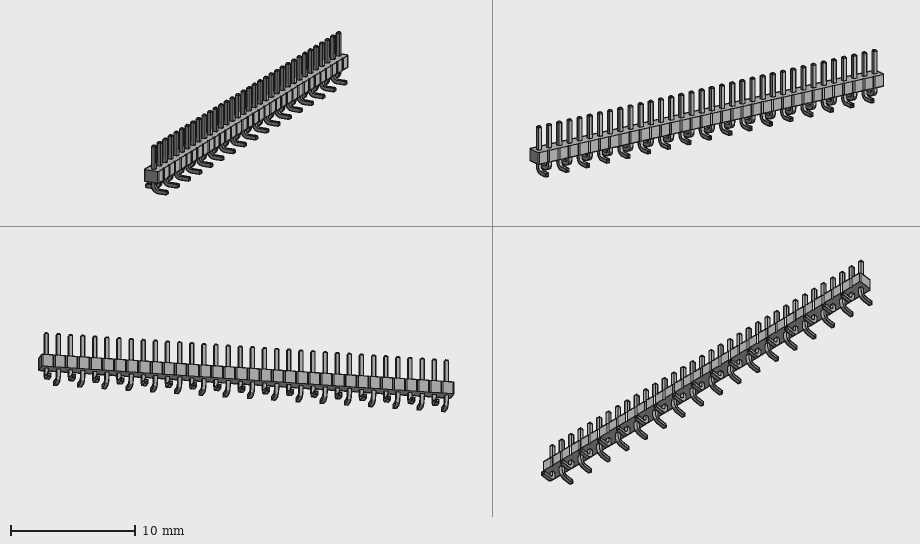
import cadquery as cq

pin_count = 34
pitch = 1.0
row_length = pin_count * pitch

body_width = 1.3
body_bottom = 1.0
body_top = 2.0
corner_chamfer = 0.1

pin_size = 0.3
pin_top = 4.0
foot_reach = 1.25
bend_inner_radius = 0.3
tip_taper_length = 0.1
tip_size = 0.15


def pin_position(index):
    """Y of a pin, counted from the -Y end of the row."""
    return (index + 0.5) * pitch - row_length / 2


def body_cell():
    """One pitch of the body, with its four upright corners bevelled."""
    return (
        cq.Workplane("XY")
        .workplane(offset=body_bottom)
        .rect(body_width, pitch)
        .extrude(body_top - body_bottom)
        .edges("|Z")
        .chamfer(corner_chamfer)
    )


def pin_tip(base_plane):
    """Four-sided taper that starts on the given plane and follows its normal."""
    return (
        cq.Workplane(base_plane)
        .rect(pin_size, pin_size)
        .workplane(offset=tip_taper_length)
        .rect(tip_size, tip_size)
        .loft(ruled=True)
    )


def bent_pin():
    """An upright pin bent at the bottom into a foot that points to +X."""
    half = pin_size / 2
    bend_radius = half + bend_inner_radius
    post_end = pin_top - tip_taper_length
    foot_end = foot_reach - tip_taper_length
    centreline = (
        cq.Workplane("XZ")
        .moveTo(0, post_end)
        .lineTo(0, half + bend_radius)
        .radiusArc((bend_radius, half), -bend_radius)
        .lineTo(foot_end, half)
    )
    stem = (
        cq.Workplane("XY", origin=(0, 0, post_end))
        .rect(pin_size, pin_size)
        .sweep(centreline)
    )
    post_tip = pin_tip(cq.Plane(origin=(0, 0, post_end), xDir=(1, 0, 0), normal=(0, 0, 1)))
    foot_tip = pin_tip(cq.Plane(origin=(foot_end, 0, half), xDir=(0, 1, 0), normal=(1, 0, 0)))
    return stem.union(post_tip).union(foot_tip)


cell = body_cell()
pin_right = bent_pin()
pin_left = pin_right.rotate((0, 0, 0), (0, 0, 1), 180)
cell_right = cell.union(pin_right)
cell_left = cell.union(pin_left)

cells = []
for index in range(pin_count):
    cell_with_pin = cell_right if index % 2 == 0 else cell_left
    cells.append(cell_with_pin.translate((0, pin_position(index), 0)).val())

result = cq.Workplane("XY").newObject([cells[0].fuse(*cells[1:]).clean()])